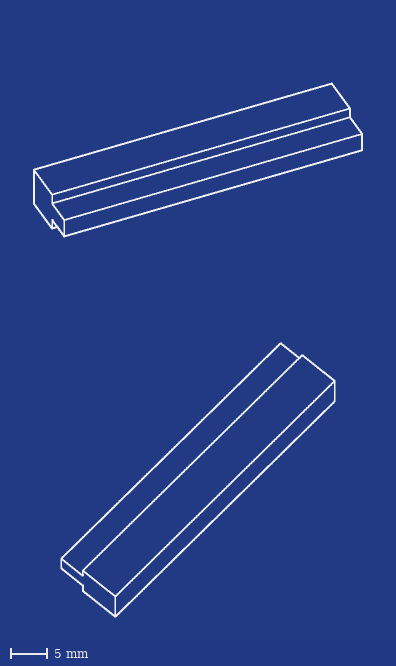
import cadquery as cq

length = 45.0
body_width = 6.0
body_height = 6.0
tongue_width = 4.0
tongue_height = 2.9

total_width = body_width + tongue_width
left_x = -total_width / 2


def make_bar(start_x, width, height):
    """Full-length bar starting at start_x, centred on Y and Z."""
    return cq.Workplane("XY").box(width, length, height).translate((start_x + width / 2, 0, 0))


body = make_bar(left_x, body_width, body_height)
tongue = make_bar(left_x + body_width, tongue_width, tongue_height)

result = body.union(tongue)